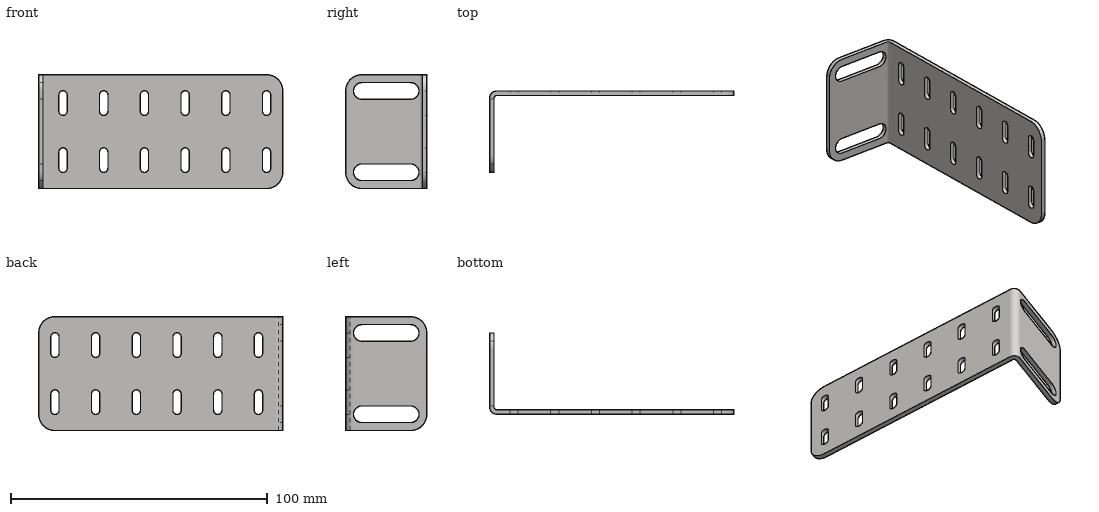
import cadquery as cq

length = 95.25
depth = 31.7
height = 44.5

thickness = 1.8
inner_bend_radius = 1.0
outer_bend_radius = inner_bend_radius + thickness
corner_radius = 6.4

plate_slot_columns = 6
plate_slot_width = 3.1
plate_slot_height = 9.5
first_slot_x = 9.5
last_slot_x = length - corner_radius
plate_slot_pitch = (last_slot_x - first_slot_x) / (plate_slot_columns - 1)
plate_slot_row_spacing = height / 2

flange_slot_width = 6.4
flange_slot_end_margin = 3.1
flange_slot_length = depth - 2 * flange_slot_end_margin
flange_slot_row_spacing = height - 2 * corner_radius


def bent_sheet():
    """L profile with its bend at the origin corner, extruded along Z."""
    sheet = (
        cq.Workplane("XY")
        .moveTo(0, 0)
        .lineTo(length, 0)
        .lineTo(length, -thickness)
        .lineTo(thickness, -thickness)
        .lineTo(thickness, -depth)
        .lineTo(0, -depth)
        .close()
        .extrude(height / 2, both=True)
    )
    sheet = sheet.edges(cq.NearestToPointSelector((0, 0, 0))).fillet(outer_bend_radius)
    inner_corner = (thickness, -thickness, 0)
    return sheet.edges(cq.NearestToPointSelector(inner_corner)).fillet(inner_bend_radius)


def round_free_corners(sheet):
    """Round the two corners at the free end of each leg."""
    sheet = sheet.faces(">X").edges("|Y").fillet(corner_radius)
    return sheet.faces("<Y").edges("|X").fillet(corner_radius)


def plate_slots():
    """Two rows of upright slots through the long plate."""
    middle_x = (first_slot_x + last_slot_x) / 2
    return (
        cq.Workplane("XZ")
        .center(middle_x, 0)
        .rarray(plate_slot_pitch, plate_slot_row_spacing, plate_slot_columns, 2)
        .slot2D(plate_slot_height, plate_slot_width, 90)
        .extrude(thickness)
    )


def flange_slots():
    """One long slot near the top and bottom of the short flange."""
    return (
        cq.Workplane("YZ")
        .center(-depth / 2, 0)
        .rarray(1, flange_slot_row_spacing, 1, 2)
        .slot2D(flange_slot_length, flange_slot_width)
        .extrude(outer_bend_radius)
    )


result = round_free_corners(bent_sheet()).cut(plate_slots()).cut(flange_slots())